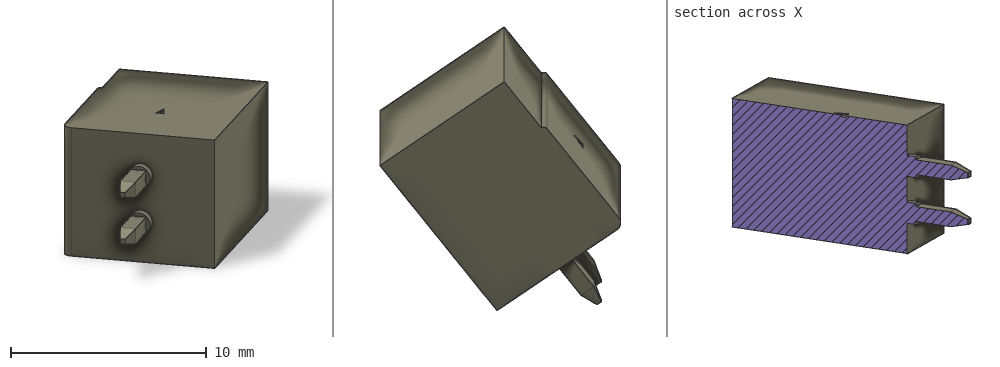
import cadquery as cq
import math

total_length = 13.6
body_width = 8.1
body_height = 6.9

pin_projection = 3.51
pin_pitch = 2.5
pin_offset = 4.2
pin_side = 0.82
pin_tip_side = 0.27
pin_taper_length = 1.0
collar_diameter = 1.2
collar_length = 0.5

step_length = 3.21
step_depth = 0.2
front_radius = 0.5
step_radius = step_depth

mark_length = 0.75
mark_base_width = 0.41
mark_depth = 0.1
mark_base_offset = 3.56

body_length = total_length - pin_projection
pin_heights = [(body_height - pin_pitch) / 2, (body_height + pin_pitch) / 2]


def make_body():
    """Block with its -Y face at Y = 0, a rounded front edge and a shallow rear step."""
    shoulder = body_length - step_length
    arc_middle = 1 - math.sqrt(0.5)
    return (
        cq.Workplane("XY")
        .moveTo(front_radius, 0)
        .lineTo(body_width, 0)
        .lineTo(body_width, body_length)
        .lineTo(step_depth, body_length)
        .lineTo(step_depth, shoulder)
        .threePointArc(
            (step_radius * arc_middle, shoulder - step_radius * arc_middle),
            (0, shoulder - step_radius),
        )
        .lineTo(0, front_radius)
        .threePointArc((front_radius * arc_middle, front_radius * arc_middle), (front_radius, 0))
        .close()
        .extrude(body_height)
    )


def make_pin(height):
    """Round collar, square shank and pyramidal tip pointing to -Y."""
    root = cq.Workplane("XZ", origin=(pin_offset, 0, height))
    shank_length = pin_projection - pin_taper_length
    collar = root.circle(collar_diameter / 2).extrude(collar_length)
    shank = root.rect(pin_side, pin_side).extrude(shank_length)
    tip = (
        root.workplane(offset=shank_length)
        .rect(pin_side, pin_side)
        .workplane(offset=pin_taper_length)
        .rect(pin_tip_side, pin_tip_side)
        .loft(ruled=True)
    )
    return collar.union(shank).union(tip)


def make_mark(face):
    """Cutter for an arrow mark; local x runs across the arrow and local y along it."""
    half_base = mark_base_width / 2
    outline = [(-half_base, 0), (half_base, 0), (0, mark_length)]
    return cq.Workplane(face).polyline(outline).close().extrude(-mark_depth)


top_face = cq.Plane(origin=(pin_offset, mark_base_offset, body_height), xDir=(1, 0, 0), normal=(0, 0, 1))
side_face = cq.Plane(origin=(0, mark_base_offset, body_height / 2), xDir=(0, 0, 1), normal=(-1, 0, 0))

result = make_body()
for pin_height in pin_heights:
    result = result.union(make_pin(pin_height))
for marked_face in (top_face, side_face):
    result = result.cut(make_mark(marked_face))